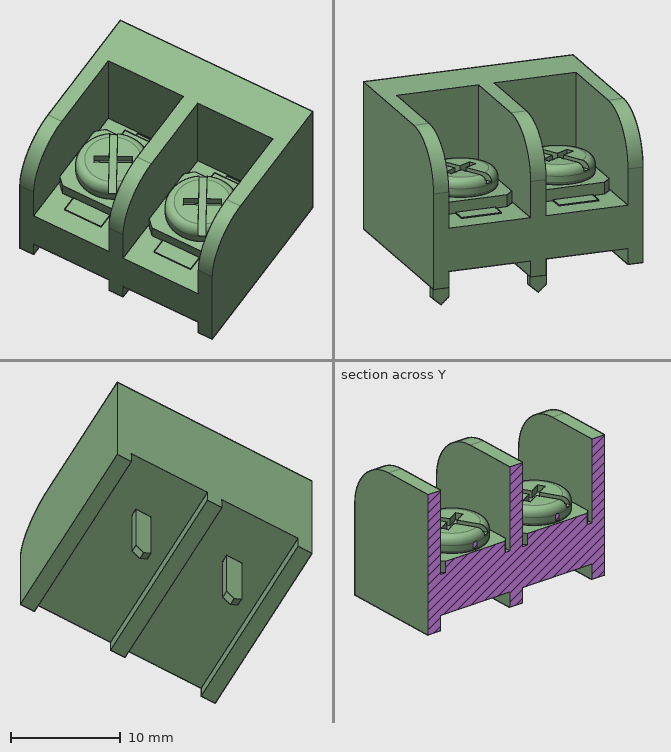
import cadquery as cq

HOUSING_WIDTH = 20.5
HOUSING_DEPTH = 17.8
HOUSING_HEIGHT = 14.25
WALL_CORNER_RADIUS = 5.0

PITCH = 9.525
POLE_CENTERS = (-PITCH / 2, PITCH / 2)

BAY_WIDTH = 8.0
BAY_DEPTH = 13.2
BAY_FLOOR_Z = 5.75

RELIEF_HEIGHT = 1.55

STRIP_WIDTH = 3.9
STRIP_FRONT_Y = 2.05
STRIP_BACK_Y = 12.75
STRIP_RISE = 0.1

PIN_WIDTH = 1.6
PIN_THICKNESS = 0.7
PIN_BACK_Y = 13.05
PIN_HEAD_RISE = STRIP_RISE / 2
PIN_TIP_Z = -6.25
PIN_TAPER = 0.7

PLATE_WIDTH = 7.7
PLATE_DEPTH = 7.6
PLATE_THICKNESS = 1.15
PLATE_CHAMFER = 0.77
PLATE_TOP_Z = BAY_FLOOR_Z + PLATE_THICKNESS

SCREW_Y = 7.4
HEAD_DIAMETER = 6.84
HEAD_HEIGHT = 1.75
HEAD_TOP_RADIUS = 0.84
HEAD_BOTTOM_RADIUS = 0.3
SLOT_WIDTH = 0.72
SLOT_DEPTH = 0.7
CROSS_LENGTH = 3.5
DRIVE_ANGLE = 30.0


def block(width, y_front, y_back, z_bottom, z_top):
    """Box centred on X = 0 between the given Y and Z limits."""
    return (
        cq.Workplane("XY", origin=(0, y_front, z_bottom))
        .rect(width, y_back - y_front)
        .extrude(z_top - z_bottom)
        .translate((0, (y_back - y_front) / 2, 0))
    )


def make_housing():
    """Block with rounded top front edge, cut by the bays and the reliefs."""
    housing = block(HOUSING_WIDTH, 0, HOUSING_DEPTH, 0, HOUSING_HEIGHT)
    housing = housing.edges("|X and >Z and <Y").fillet(WALL_CORNER_RADIUS)
    bay = block(BAY_WIDTH, 0, BAY_DEPTH, BAY_FLOOR_Z, HOUSING_HEIGHT)
    relief = block(BAY_WIDTH, 0, HOUSING_DEPTH, 0, RELIEF_HEIGHT)
    for x in POLE_CENTERS:
        housing = housing.cut(bay.translate((x, 0, 0)))
        housing = housing.cut(relief.translate((x, 0, 0)))
    return housing


def make_pin():
    """Blade from the pointed tip up to just above the bay floor."""
    half_width = PIN_WIDTH / 2
    shoulder_z = PIN_TIP_Z + PIN_TAPER
    head_z = BAY_FLOOR_Z + PIN_HEAD_RISE
    outline = [
        (0, PIN_TIP_Z),
        (half_width, shoulder_z),
        (half_width, head_z),
        (-half_width, head_z),
        (-half_width, shoulder_z),
    ]
    return cq.Workplane("XZ", origin=(0, PIN_BACK_Y, 0)).polyline(outline).close().extrude(PIN_THICKNESS)


def make_plate():
    """Square clamping plate with chamfered corners."""
    plate_front_y = SCREW_Y - PLATE_DEPTH / 2
    plate = block(PLATE_WIDTH, plate_front_y, plate_front_y + PLATE_DEPTH, BAY_FLOOR_Z, PLATE_TOP_Z)
    return plate.edges("|Z").chamfer(PLATE_CHAMFER)


def make_screw_head():
    """Rounded pan head with one full-width slot and a short slot across it."""
    head = cq.Workplane("XY").circle(HEAD_DIAMETER / 2).extrude(HEAD_HEIGHT)
    head = head.faces(">Z").edges().fillet(HEAD_TOP_RADIUS)
    head = head.faces("<Z").edges().fillet(HEAD_BOTTOM_RADIUS)
    slot_floor = cq.Workplane("XY", origin=(0, 0, HEAD_HEIGHT - SLOT_DEPTH))
    long_slot = slot_floor.rect(SLOT_WIDTH, HEAD_DIAMETER).extrude(SLOT_DEPTH)
    cross_slot = slot_floor.rect(CROSS_LENGTH, SLOT_WIDTH).extrude(SLOT_DEPTH)
    head = head.cut(long_slot).cut(cross_slot)
    return head.rotate((0, 0, 0), (0, 0, 1), DRIVE_ANGLE).translate((0, SCREW_Y, PLATE_TOP_Z))


def make_terminal():
    """Metal parts of one pole: strip, pin, plate and screw head."""
    strip = block(STRIP_WIDTH, STRIP_FRONT_Y, STRIP_BACK_Y, BAY_FLOOR_Z, BAY_FLOOR_Z + STRIP_RISE)
    return strip.union(make_pin()).union(make_plate()).union(make_screw_head())


result = make_housing()
terminal = make_terminal()
for pole_x in POLE_CENTERS:
    result = result.union(terminal.translate((pole_x, 0, 0)))